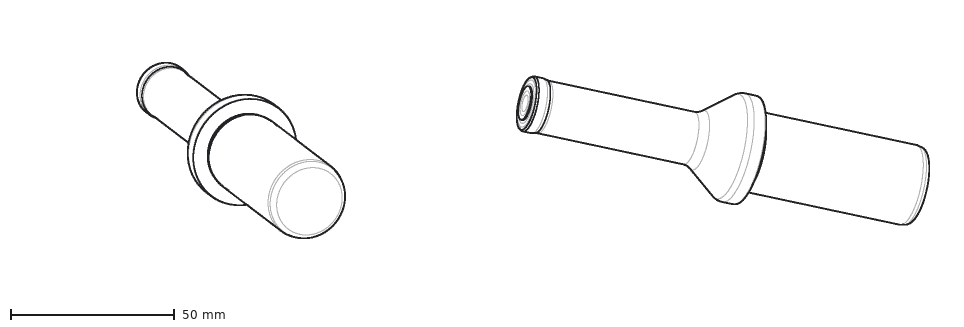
import cadquery as cq
import math


split_x = 5.2
nose_radius = 5.3
nose_height = 0.4
dimple_radius = 2.6
dimple_depth = 0.1
nose_inner_radius = 3.9
nose_crown = 0.04
face_bend_radii = (6.2, 7.3)
face_bend_x = (0.45, 0.54)
face_radius = 8.2
face_x = 0.6
head_radius = 17.3 / 2
head_start_x = 1.3
head_end_x = 4.0
seat_radius = 8.4

stem_radius = 16.5 / 2
stem_start_x = 5.9
flange_radius = 34.0 / 2
cone_angle = math.radians(37)
stem_blend_start_x = 54.0
stem_blend_end_x = 57.1
flange_blend_end_x = 68.7
flange_back_x = 72.8
flange_chamfer = 0.5
flange_chamfer_drop = 0.1
shank_radius = 25.0 / 2
neck_radius = 24.5 / 2
neck_end_x = 73.9
shank_start_x = 74.6
shank_end_x = 126.2
end_round = 1.5
total_length = 128.9

stem_blend_radius = (stem_blend_end_x - stem_blend_start_x) / math.sin(cone_angle)
flange_blend_radius = 3.2


def revolve_about_x(profile):
    return profile.close().revolve(360, (0, 0, 0), (1, 0, 0))


def arc_point(start_x, start_radius, blend_radius, angle):
    """Point on an arc that starts parallel to X and bends away from the axis."""
    return (
        start_x + blend_radius * math.sin(angle),
        start_radius + blend_radius * (1 - math.cos(angle)),
    )


def make_cutting_head():
    profile = (
        cq.Workplane("XY")
        .moveTo(dimple_depth, 0)
        .lineTo(nose_crown, dimple_radius)
        .lineTo(0, nose_inner_radius)
        .lineTo(0, nose_radius)
        .lineTo(nose_height, nose_radius)
    )
    for bend_x, bend_radius in zip(face_bend_x, face_bend_radii):
        profile = profile.lineTo(bend_x, bend_radius)
    profile = (
        profile.lineTo(face_x, face_radius)
        .lineTo(head_start_x, head_radius)
        .lineTo(head_end_x, head_radius)
        .lineTo(split_x, seat_radius)
        .lineTo(split_x, 0)
    )
    return revolve_about_x(profile)


def make_holder():
    stem_blend_middle = arc_point(stem_blend_start_x, stem_radius, stem_blend_radius, cone_angle / 2)
    cone_start = arc_point(stem_blend_start_x, stem_radius, stem_blend_radius, cone_angle)
    cone_end = arc_point(flange_blend_end_x, flange_radius, -flange_blend_radius, cone_angle)
    flange_blend_middle = arc_point(flange_blend_end_x, flange_radius, -flange_blend_radius, cone_angle / 2)
    end_round_inset = end_round * (1 - math.sin(math.pi / 4))

    profile = (
        cq.Workplane("XY")
        .moveTo(split_x, 0)
        .lineTo(split_x, seat_radius)
        .lineTo(stem_start_x, stem_radius)
        .lineTo(stem_blend_start_x, stem_radius)
        .threePointArc(stem_blend_middle, cone_start)
        .lineTo(*cone_end)
        .threePointArc(flange_blend_middle, (flange_blend_end_x, flange_radius))
        .lineTo(flange_back_x - flange_chamfer, flange_radius)
        .lineTo(flange_back_x, flange_radius - flange_chamfer_drop)
        .lineTo(flange_back_x, neck_radius)
        .lineTo(neck_end_x, neck_radius)
        .lineTo(shank_start_x, shank_radius)
        .lineTo(shank_end_x, shank_radius)
        .lineTo(total_length - end_round, neck_radius)
        .threePointArc(
            (total_length - end_round_inset, neck_radius - end_round_inset),
            (total_length, neck_radius - end_round),
        )
        .lineTo(total_length, 0)
    )
    return revolve_about_x(profile)


cutting_head = make_cutting_head()
holder = make_holder()

result = cq.Compound.makeCompound([cutting_head.val(), holder.val()])